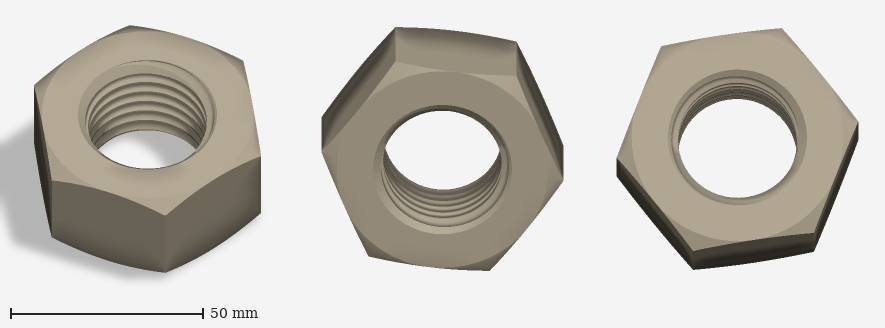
import cadquery as cq
import math

ACROSS_CORNERS = 63.5
HEIGHT = 29.0
BEVEL_ANGLE = math.radians(30)
corner_radius = ACROSS_CORNERS / 2
flat_radius = corner_radius * math.cos(math.pi / 6)

PITCH = 4.0
MAJOR_DIAMETER = 36.0
MINOR_DIAMETER = 30.85
FLANK_ANGLE = math.radians(30)
ROOT_FLAT = PITCH / 8
END_TURNS = 1.0
START_OFFSET = 0.75
GROOVE_OVERLAP = 0.1
major_radius = MAJOR_DIAMETER / 2
minor_radius = MINOR_DIAMETER / 2

COUNTERSINK_DIAMETER = 36.15
countersink_radius = COUNTERSINK_DIAMETER / 2
COUNTERSINK_ANGLE = math.radians(45)
BORE_SEAM_ANGLE = 200.0


def make_body():
    """Hexagonal prism, corners on the Y axis, with conical bevels at both ends."""
    hexagon = (
        cq.Workplane("XY")
        .polygon(6, ACROSS_CORNERS)
        .extrude(HEIGHT)
        .rotate((0, 0, 0), (0, 0, 1), 90)
    )
    bevel_drop = (corner_radius - flat_radius) * math.tan(BEVEL_ANGLE)
    envelope = (
        cq.Workplane("XZ")
        .moveTo(0, 0)
        .lineTo(flat_radius, 0)
        .lineTo(corner_radius, bevel_drop)
        .lineTo(corner_radius, HEIGHT - bevel_drop)
        .lineTo(flat_radius, HEIGHT)
        .lineTo(0, HEIGHT)
        .close()
        .revolve(360, (0, 0, 0), (0, 1, 0))
    )
    return hexagon.intersect(envelope)


def make_bore():
    """Minor-diameter bore, countersunk at both ends."""
    depth = (countersink_radius - minor_radius) * math.tan(COUNTERSINK_ANGLE)
    return (
        cq.Workplane("XZ")
        .moveTo(0, 0)
        .lineTo(countersink_radius, 0)
        .lineTo(minor_radius, depth)
        .lineTo(minor_radius, HEIGHT - depth)
        .lineTo(countersink_radius, HEIGHT)
        .lineTo(0, HEIGHT)
        .close()
        .revolve(360, (0, 0, 0), (0, 1, 0))
        .rotate((0, 0, 0), (0, 0, 1), BORE_SEAM_ANGLE)
    )


def make_thread_groove():
    """Trapezoidal groove swept along a helix that overruns both end faces."""
    overrun = END_TURNS * PITCH
    inner_radius = minor_radius - GROOVE_OVERLAP
    root_half = ROOT_FLAT / 2
    mouth_half = root_half + (major_radius - inner_radius) * math.tan(FLANK_ANGLE)
    helix = cq.Wire.makeHelix(PITCH, HEIGHT + 2 * overrun, minor_radius)
    groove = (
        cq.Workplane("XZ")
        .moveTo(inner_radius, -mouth_half)
        .lineTo(major_radius, -root_half)
        .lineTo(major_radius, root_half)
        .lineTo(inner_radius, mouth_half)
        .close()
        .sweep(cq.Workplane(helix), isFrenet=True)
    )
    return groove.translate((0, 0, -overrun - START_OFFSET))


result = make_body().cut(make_thread_groove()).cut(make_bore())